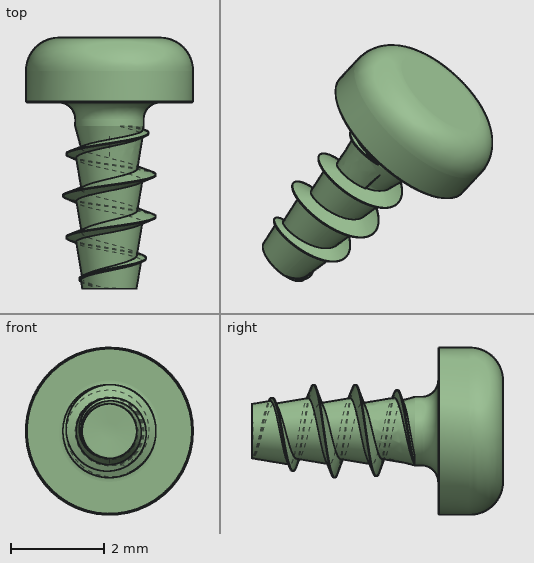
import cadquery as cq
import math


head_radius = 1.8
head_height = 1.4
head_crown_radius = 0.72
head_rim_chamfer = 0.03

neck_radius = 0.74
neck_fillet = 0.35
neck_length = 0.5

shank_length = 4.0
tip_radius = 0.585
core_clearance = 0.005
core_radius = tip_radius - core_clearance
land_taper = 9.5
neck_taper_length = 0.59
tip_dimple_radius = 0.535
tip_dimple_depth = 0.025

pitch = 0.9
thread_start = 0.425
thread_end = 3.95
crest_radius = 1.0
crest_width = 0.02
crest_start_radius = 0.8
run_in_length = 1.05
run_out_turns = 2.5
run_out_start = thread_start + run_out_turns * pitch
head_flank_slope = 0.33
tip_flank_slope = 0.38
buried_radius = 0.5
land_gap = 0.025
sections_per_piece = 8


def crest_at(depth):
    """Crest radius of the thread at a given depth."""
    if depth < thread_start + run_in_length:
        rise = (crest_radius - crest_start_radius) / run_in_length
        return crest_start_radius + rise * (depth - thread_start)
    if depth < run_out_start:
        return crest_radius
    drop = (crest_radius - tip_radius) / (shank_length - run_out_start)
    return crest_radius - drop * (depth - run_out_start)


def thread_section(depth):
    """Thread profile centred at a depth, as (radius, depth) points."""
    crest = crest_at(depth)
    height = crest - buried_radius
    half_crest = crest_width / 2
    return [
        (buried_radius, depth - half_crest - head_flank_slope * height),
        (crest, depth - half_crest),
        (crest, depth + half_crest),
        (buried_radius, depth + half_crest + tip_flank_slope * height),
    ]


def land_section(depth):
    """Profile of the tapered land between one thread turn and the next, as (radius, depth) points."""
    far_depth = min(depth + pitch - land_gap, shank_length)
    near_radius = tip_radius + math.tan(math.radians(land_taper)) * (far_depth - depth)
    return [
        (buried_radius, depth),
        (near_radius, depth),
        (tip_radius, far_depth),
        (buried_radius, far_depth),
    ]


def helical_piece(section, first_depth, last_depth):
    """Solid through copies of a section turned along the right-hand helix."""
    wires = []
    for index in range(sections_per_piece + 1):
        depth = first_depth + (last_depth - first_depth) * index / sections_per_piece
        angle = 2 * math.pi * (depth - thread_start) / pitch
        corners = [
            cq.Vector(radius * math.sin(angle), -along, -radius * math.cos(angle))
            for radius, along in section(depth)
        ]
        wires.append(cq.Wire.makePolygon(corners, close=True))
    return cq.Workplane(obj=cq.Solid.makeLoft(wires))


def add_helix(body, section):
    """Add a helical section to the body in half-turn pieces, down to the tip."""
    limits = threaded_zone()
    depth = thread_start
    while depth < thread_end:
        next_depth = min(depth + pitch / 2, thread_end)
        piece = helical_piece(section, depth, next_depth)
        body = body.union(piece.intersect(limits))
        depth = next_depth
    return body


def blank():
    """Head, filleted neck and plain core, turned about Y."""
    crown_start = head_height - head_crown_radius
    diagonal = math.sqrt(0.5)
    profile = (
        cq.Workplane("XY")
        .moveTo(0, head_height)
        .lineTo(head_radius - head_crown_radius, head_height)
        .threePointArc(
            (
                head_radius - head_crown_radius * (1 - diagonal),
                crown_start + head_crown_radius * diagonal,
            ),
            (head_radius, crown_start),
        )
        .lineTo(head_radius, head_rim_chamfer)
        .lineTo(head_radius - head_rim_chamfer, 0)
        .lineTo(neck_radius + neck_fillet, 0)
        .threePointArc(
            (
                neck_radius + neck_fillet * (1 - diagonal),
                -neck_fillet * (1 - diagonal),
            ),
            (neck_radius, -neck_fillet),
        )
        .lineTo(neck_radius, -neck_length)
        .lineTo(core_radius, -neck_length - neck_taper_length)
        .lineTo(core_radius, -shank_length)
        .lineTo(0, -shank_length)
        .close()
    )
    return profile.revolve(360, (0, 0, 0), (0, 1, 0))


def threaded_zone():
    """Cylinder between the neck and the tip face that limits the thread."""
    return (
        cq.Workplane("XZ", origin=(0, -neck_length, 0))
        .circle(head_radius)
        .extrude(shank_length - neck_length)
    )


def tip_dimple():
    """Shallow cone sunk into the tip face."""
    cone = cq.Solid.makeCone(
        tip_dimple_radius,
        0,
        tip_dimple_depth,
        pnt=cq.Vector(0, -shank_length, 0),
        dir=cq.Vector(0, 1, 0),
    )
    return cq.Workplane(obj=cone)


result = add_helix(blank(), land_section)
result = add_helix(result, thread_section)
result = result.cut(tip_dimple())